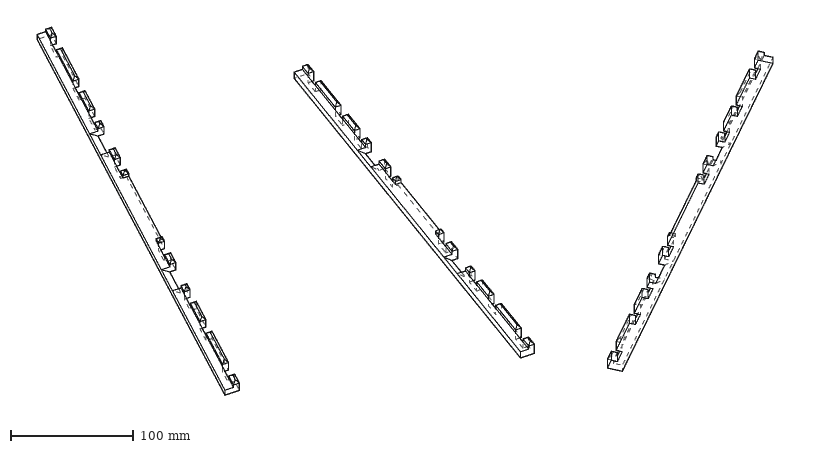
import cadquery as cq
import math

ENVELOPE_SIDE = 292.0
TURN_ANGLE = -45.0

FULL_DEPTH = 12.8
TOOTH_DEPTH = 5.3
BAR_DEPTH = FULL_DEPTH - TOOTH_DEPTH
BAR_HEIGHT = 6.7
TOOTH_HEIGHT = 12.5

ROOF_RUN = TOOTH_DEPTH / 2
EAVE_HEIGHT = TOOTH_HEIGHT - ROOF_RUN

LENGTH = ENVELOPE_SIDE * math.sqrt(2) - FULL_DEPTH

END_TOOTH = 10.2
LONG_TOOTH = 35.3
MEDIUM_TOOTH = 20.7
OUTER_SHORT_TOOTH = 7.0
INNER_SHORT_TOOTH = 11.0
POINTED_TOOTH = TOOTH_DEPTH
GAP = 12.8
BEVEL_LENGTH = 23.5

OUTER_GROUP = ((END_TOOTH, GAP), (LONG_TOOTH, GAP), (MEDIUM_TOOTH, GAP), (OUTER_SHORT_TOOTH, 0))
INNER_GROUP = ((INNER_SHORT_TOOTH, GAP), (POINTED_TOOTH, 0))


def group_length(group):
    """Length taken up by a group of teeth and their spaces."""
    return sum(tooth_length + space for tooth_length, space in group)


def block(length, depth, height):
    """Block standing on Z = 0, centred on X = 0, with its front at Y = 0."""
    return cq.Workplane("XY").box(length, depth, height, centered=(True, False, False))


def tooth(length):
    """Upright block with a hipped roof; the roof of a square tooth comes to a point."""
    cross_section = (
        cq.Workplane("YZ")
        .moveTo(BAR_DEPTH, 0)
        .lineTo(FULL_DEPTH, 0)
        .lineTo(FULL_DEPTH, EAVE_HEIGHT)
        .lineTo(FULL_DEPTH - ROOF_RUN, TOOTH_HEIGHT)
        .lineTo(BAR_DEPTH, EAVE_HEIGHT)
        .close()
        .extrude(length / 2, both=True)
    )
    half_length = length / 2
    half_ridge = half_length - ROOF_RUN
    side_points = [
        (-half_length, 0),
        (half_length, 0),
        (half_length, EAVE_HEIGHT),
        (half_ridge, TOOTH_HEIGHT),
    ]
    if half_ridge > 0:
        side_points.append((-half_ridge, TOOTH_HEIGHT))
    side_points.append((-half_length, EAVE_HEIGHT))
    side_profile = cq.Workplane("XZ").polyline(side_points).close().extrude(-FULL_DEPTH)
    return cross_section.intersect(side_profile)


def bevel_cut():
    """Wedge that leaves the bar sloping from its front top edge to its back bottom edge."""
    return (
        cq.Workplane("YZ")
        .moveTo(0, BAR_HEIGHT)
        .lineTo(BAR_DEPTH, BAR_HEIGHT)
        .lineTo(BAR_DEPTH, 0)
        .close()
        .extrude(BEVEL_LENGTH / 2, both=True)
    )


def add_teeth(body, group, outer_end):
    """Add a group of teeth, starting at outer_end and running inwards, to both halves."""
    position = outer_end
    for tooth_length, space in group:
        centre = position - tooth_length / 2
        for side in (-1, 1):
            body = body.union(tooth(tooth_length).translate((side * centre, 0, 0)))
        position -= tooth_length + space
    return body


bevel_outer_end = LENGTH / 2 - group_length(OUTER_GROUP)
bevel_inner_end = bevel_outer_end - BEVEL_LENGTH
middle_half_length = bevel_inner_end - group_length(INNER_GROUP)

bar = block(LENGTH, BAR_DEPTH, BAR_HEIGHT)
for side in (-1, 1):
    bevel_centre = side * (bevel_outer_end + bevel_inner_end) / 2
    bar = bar.cut(bevel_cut().translate((bevel_centre, 0, 0)))

bar = bar.union(block(2 * middle_half_length, FULL_DEPTH, BAR_HEIGHT))

bar = add_teeth(bar, OUTER_GROUP, LENGTH / 2)
bar = add_teeth(bar, INNER_GROUP, bevel_inner_end)

result = bar.rotate((0, 0, 0), (0, 0, 1), TURN_ANGLE)